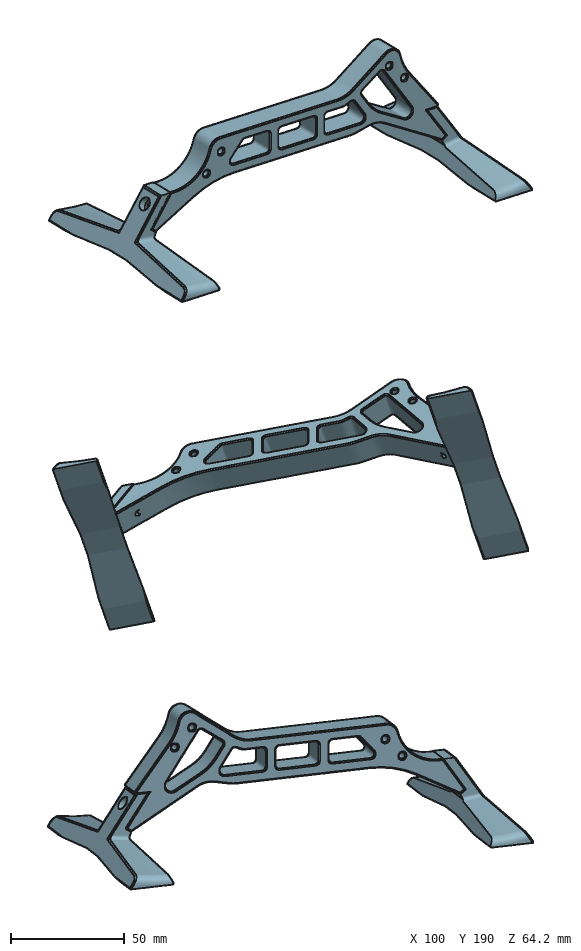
import cadquery as cq
import math

LENGTH = 190.0
FOOT_SPAN = 100.0
SPINE_WIDTH = 13.0
EDGE_CHAMFER = 0.5

LEAN = math.radians(55.2)
TOE_Y = LENGTH / 2 + EDGE_CHAMFER / math.tan(LEAN)
PLATE_THICKNESS = 4.8
FOOT_TOP = 28.9
SHELF_HEIGHT = 13.7
SHELF_DEPTH = 3.2

SOLE_INNER_Y = 74.5
WAIST_Y = 78.57
WAIST_HEIGHT = 9.3
ARM_ROOT_X = 8.4
ARM_CREST_X = 46.5
ROOT_OUTER_HEIGHT = 9.9
TIP_OUTER_HEIGHT = 5.5
TOP_TILT = 0.12
CREASE_Y = 82.5
ROOT_INNER_Y = 78.7
TIP_INNER_Y = 77.1
TIP_INNER_HEIGHT = 4.2
TIP_RADIUS = 3.8
ROOT_FILLET = 1.9
ARCH_HEIGHT = 2.7
ARCH_FLAT_X = 6.5
ARCH_END_X = 37.0

SCREW_HEIGHT = 23.5
HEAD_DIAMETER = 6.0
HEAD_DEPTH = 3.5
CLEARANCE_DIAMETER = 3.2
THREAD_DIAMETER = 2.9
THREAD_DEPTH = 7.6

RAIL_TOP = 48.0
RAIL_BOTTOM = 28.3
WINDOW_TOP = 43.5
WINDOW_BOTTOM = 33.0
SIDE_HOLE_DIAMETER = 2.9
SIDE_HOLES = [(57.0, 48.5), (48.8, 56.6), (-42.2, 41.0), (-50.2, 32.5)]

BIG = 380.0


def outer_y(z):
    """Y of the +Y foot's outer face at height z."""
    return TOE_Y - z / math.tan(LEAN)


def joint_y(z):
    """Y of the joint between the +Y foot plate and the spine at height z."""
    return outer_y(z) - PLATE_THICKNESS / math.sin(LEAN)


JOINT_TOP = (joint_y(FOOT_TOP), FOOT_TOP)
JOINT_LOW = (joint_y(SHELF_HEIGHT), SHELF_HEIGHT)
SHELF_END = (
    JOINT_LOW[0] - SHELF_DEPTH * math.sin(LEAN),
    JOINT_LOW[1] - SHELF_DEPTH * math.cos(LEAN),
)


def opposite(point):
    """The same (Y, Z) point at the -Y foot."""
    return (-point[0], point[1])


def rounded_prism(corners, width):
    """Prism centred on X = 0 whose (Y, Z, radius) corners are rounded with tangent arcs."""
    spans = []
    for i, (y, z, radius) in enumerate(corners):
        corner = cq.Vector(y, z)
        back = (cq.Vector(*corners[i - 1][:2]) - corner).normalized()
        ahead = (cq.Vector(*corners[(i + 1) % len(corners)][:2]) - corner).normalized()
        half_angle = back.getAngle(ahead) / 2
        reach = radius / math.tan(half_angle)
        bulge = radius / math.sin(half_angle) - radius
        start = corner + back * reach
        middle = corner + (back + ahead).normalized() * bulge
        end = corner + ahead * reach
        spans.append((radius, start, middle, end))

    outline = cq.Workplane("YZ").moveTo(spans[0][3].x, spans[0][3].y)
    for radius, start, middle, end in spans[1:] + spans[:1]:
        outline = outline.lineTo(start.x, start.y)
        if radius > 0:
            outline = outline.threePointArc((middle.x, middle.y), (end.x, end.y))
    return outline.close().extrude(width / 2, both=True)


def screw_hole(diameter, start, end):
    """Cylinder on the +Y foot's screw axis, between two depths below the outer face."""
    inward = cq.Vector(0, -math.sin(LEAN), -math.cos(LEAN))
    mouth = cq.Vector(0, outer_y(SCREW_HEIGHT), SCREW_HEIGHT)
    return cq.Workplane(
        cq.Solid.makeCylinder(diameter / 2, end - start, mouth + inward * start, inward)
    )


def half_turn(body):
    return body.rotate((0, 0, 0), (0, 0, 1), 180)


def make_spine():
    outline = [
        (*SHELF_END, 0),
        (*JOINT_LOW, 0),
        (*JOINT_TOP, 0),
        (75.0, FOOT_TOP, 0),
        (75.8, 29.8, 0),
        (56.6, 54.3, 24.7),
        (53.4, 67.8, 5.3),
        (25.5, RAIL_TOP, 14.3),
        (-47.1, RAIL_TOP, 5.7),
        (-52.3, 29.0, 19.8),
        (*opposite(JOINT_TOP), 0),
        (*opposite(JOINT_LOW), 0),
        (*opposite(SHELF_END), 0),
        (-46.5, RAIL_BOTTOM, 46.7),
        (29.5, RAIL_BOTTOM, 15.2),
        (42.4, 31.2, 11.4),
    ]
    head_window = [(67.6, 22.8, 2.95), (45.0, 55.9, 1.3), (33.5, 47.9, 1.5), (40.7, 37.5, 19.0)]
    neck_window = [
        (37.6, WINDOW_BOTTOM, 2.3),
        (29.3, 45.5, 1.3),
        (24.9, WINDOW_TOP, 5.7),
        (14.0, WINDOW_TOP, 1.7),
        (14.0, WINDOW_BOTTOM, 1.7),
    ]
    middle_window = [
        (9.3, WINDOW_BOTTOM, 1.7),
        (9.3, WINDOW_TOP, 1.7),
        (-10.8, WINDOW_TOP, 1.7),
        (-10.8, WINDOW_BOTTOM, 1.7),
    ]
    rear_window = [
        (-15.8, WINDOW_BOTTOM, 1.7),
        (-15.8, WINDOW_TOP, 1.7),
        (-29.8, WINDOW_TOP, 1.3),
        (-39.1, WINDOW_BOTTOM, 1.7),
    ]
    spine = rounded_prism(outline, SPINE_WIDTH)
    for window in (head_window, neck_window, middle_window, rear_window):
        spine = spine.cut(rounded_prism(window, BIG))
    side_holes = (
        cq.Workplane("YZ").pushPoints(SIDE_HOLES).circle(SIDE_HOLE_DIAMETER / 2).extrude(BIG / 2, both=True)
    )
    spine = spine.cut(side_holes)
    spine = spine.faces("<X or >X").chamfer(EDGE_CHAMFER)
    thread = screw_hole(THREAD_DIAMETER, PLATE_THICKNESS, PLATE_THICKNESS + THREAD_DEPTH)
    return spine.cut(thread).cut(half_turn(thread))


def plane_under_arm_top(a, b, c):
    """Plane through three points, facing up."""
    normal = (b - a).cross(c - a)
    if normal.z < 0:
        normal = normal * -1
    return cq.Plane(a, b - a, normal)


def half_front(arm_top, root_fillet):
    """Post and +X arm as a deep block: arm cut off by one plane, tip and root rounded."""
    block_y = (57.0, 114.0)
    depth = block_y[1] - block_y[0]
    start = cq.Workplane("XY", origin=(0, block_y[0], 0))
    bar = start.box(FOOT_SPAN / 2, depth, FOOT_TOP, centered=False)
    bar = bar.intersect(cq.Workplane(arm_top).rect(BIG, BIG).extrude(-BIG))
    bar = bar.faces(">X").edges("not |Z").edges(">Z").fillet(TIP_RADIUS)
    post = start.box(SPINE_WIDTH / 2, depth, FOOT_TOP, centered=False)
    root_x = SPINE_WIDTH / 2
    root = cq.selectors.BoxSelector((root_x - 0.02, block_y[0], 1.9), (root_x + 0.02, block_y[1], FOOT_TOP - 1.9))
    block = bar.union(post)
    if root_fillet > 0:
        block = block.edges("not(|X or |Z)").edges(root).fillet(root_fillet)
    return block


def make_front_block(root_fillet):
    """Front shape of the foot: post and two arms whose tops have a shallow crease."""
    root_outer = cq.Vector(ARM_ROOT_X, outer_y(ROOT_OUTER_HEIGHT), ROOT_OUTER_HEIGHT)
    tip_outer = cq.Vector(ARM_CREST_X, outer_y(TIP_OUTER_HEIGHT), TIP_OUTER_HEIGHT)
    root_inner_height = ROOT_OUTER_HEIGHT - TOP_TILT * (root_outer.y - ROOT_INNER_Y)
    root_inner = cq.Vector(ARM_ROOT_X, ROOT_INNER_Y, root_inner_height)
    crease_height = TIP_OUTER_HEIGHT - TOP_TILT * (tip_outer.y - CREASE_Y)
    crease = cq.Vector(ARM_CREST_X, CREASE_Y, crease_height)
    tip_inner = cq.Vector(ARM_CREST_X, TIP_INNER_Y, TIP_INNER_HEIGHT)

    outer_top = plane_under_arm_top(root_outer, root_inner, tip_outer)
    inner_top = plane_under_arm_top(root_inner, crease, tip_inner)
    half = half_front(outer_top, root_fillet).union(half_front(inner_top, root_fillet))
    return half.union(half.mirror("YZ"))


def side_prism(setback):
    """Side profile of the foot, its outer face set back along Y, extended along X."""
    profile = [
        (outer_y(EDGE_CHAMFER) - setback, EDGE_CHAMFER),
        (TOE_Y - EDGE_CHAMFER - setback, 0),
        (SOLE_INNER_Y + EDGE_CHAMFER, 0),
        (SOLE_INNER_Y, EDGE_CHAMFER),
        (WAIST_Y, WAIST_HEIGHT),
        SHELF_END,
        JOINT_LOW,
        JOINT_TOP,
        (outer_y(FOOT_TOP) - setback, FOOT_TOP),
    ]
    return cq.Workplane("YZ").polyline(profile).close().extrude(FOOT_SPAN, both=True)


def make_foot():
    foot = side_prism(0).intersect(make_front_block(0))
    outward = cq.Vector(0, math.sin(LEAN), math.cos(LEAN))
    outer_face = foot.faces(cq.selectors.DirectionMinMaxSelector(outward))
    foot = outer_face.edges("not <Z").chamfer(EDGE_CHAMFER)
    arch = [
        (-ARCH_END_X, 0),
        (-ARCH_FLAT_X, ARCH_HEIGHT),
        (ARCH_FLAT_X, ARCH_HEIGHT),
        (ARCH_END_X, 0),
    ]
    arch_cut = cq.Workplane("XZ").polyline(arch).close().extrude(-BIG)
    foot = foot.cut(arch_cut)

    setback = EDGE_CHAMFER / math.sin(LEAN)
    roots = side_prism(setback).intersect(make_front_block(ROOT_FILLET))
    root_zone = cq.Workplane("XY").box(2 * ARM_ROOT_X + 3.8, BIG, BIG)
    foot = foot.union(roots.intersect(root_zone).cut(arch_cut))
    foot = foot.cut(screw_hole(HEAD_DIAMETER, 0, HEAD_DEPTH))
    return foot.cut(screw_hole(CLEARANCE_DIAMETER, HEAD_DEPTH, PLATE_THICKNESS))


spine = make_spine()
feet = []
for turn in (0, 180):
    feet.append(make_foot().rotate((0, 0, 0), (0, 0, 1), turn))

result = cq.Compound.makeCompound([spine.val(), *(foot.val() for foot in feet)])